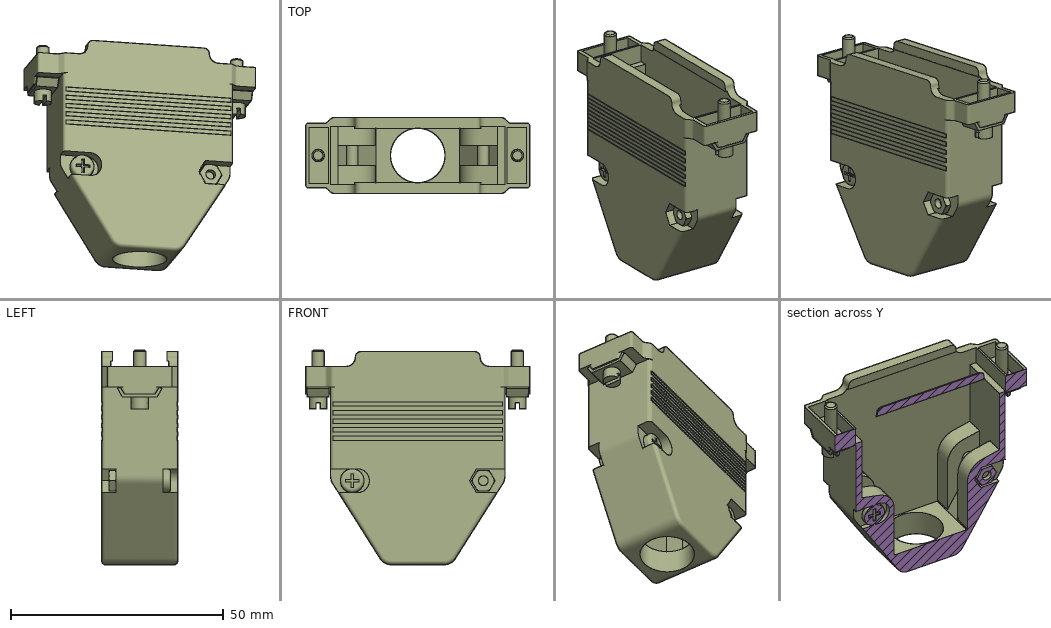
import math

import cadquery as cq

BODY_HALF_X = 20.57
BODY_HALF_Y = 17.93 / 2
RIM_Z = 46.8
EDGE_ROUND = 0.9
SHOULDER_Z = 19.95
SHOULDER_ROUND = 3.2
BASE_HALF_X = 7.95
BASE_CORNER_ROUND = 3.1

CAVITY_HALF_X = 18.83
CAVITY_HALF_Y = 6.83
LEDGE_Z = 42.45
MOUTH_HALF_X = 20.56
CABLE_HOLE_DIA = 12.8

LIP_TOP_Z = 50.3
LIP_TOP_HALF_X = 13.4
LIP_FOOT_RADIUS = 2.17
LIP_TOP_RADIUS = LIP_TOP_Z - RIM_Z - LIP_FOOT_RADIUS
LIP_BEAD_Z = 48.0
LIP_BEAD_INNER_Y = 6.39

FLANGE_Z = 41.89
FLANGE_HALF_X = 52.83 / 2
FLANGE_HALF_Y = 7.62
FLANGE_CORNER_ROUND = 0.6
FLARE_OUTER_X = 21.6
FLARE_INNER_X = 20.2
FLARE_ROUND = 0.87
POCKET_INNER_X = 21.07
POCKET_OUTER_X = 25.69
POCKET_HALF_Y = 6.57
POCKET_FLOOR_Z = LEDGE_Z

HUMP_TOP_HALF_Y = 4.64
HUMP_BOTTOM_HALF_Y = 3.68
HUMP_BOTTOM_Z = 40.3
HUMP_EDGE_ROUND = 0.55
STRAP_THICKNESS = 0.7
STRAP_INNER_X = 20.88
STRAP_OUTER_X = 26.06

JACK_X = 23.48
JACK_DIA = 2.95
JACK_TOP_Z = 50.62
JACK_CHAMFER = 0.35
JACK_HEAD_DIA = 4.15
JACK_HEAD_Z = 36.78
JACK_SLOT_WIDTH = 0.9
JACK_SLOT_DEPTH = 1.4

GROOVE_COUNT = 5
GROOVE_TOP_Z = 38.4
GROOVE_PITCH = 2.02
GROOVE_HEIGHT = 1.0
GROOVE_DEPTH = 0.2
GROOVE_HALF_X = 20.03

CLAMP_X = 15.45
CLAMP_Z = 19.83
CLAMP_SHANK_DIA = 2.8
BOSS_RADIUS = 5.45
FLOOR_STEP = 0.15
BOSS_TOP_SLOPE = 11.9
BOSS_GAP_HALF_Y = 2.35
RECESS_WIDTH = 5.6
SCREW_RECESS_DEPTH = 3.5
SCREW_RECESS_END_X = 14.2
SCREW_HEAD_DIA = 5.6
SCREW_HEAD_HEIGHT = 1.8
SCREW_HEAD_ROUND = 0.75
CROSS_LENGTH = 3.25
CROSS_WIDTH = 0.6
CROSS_DEPTH = 0.8
NUT_RECESS_DEPTH = 3.37
NUT_HEIGHT = 1.65
NUT_FLATS = 4.8
NUT_CHAMFER_DIA = 5.15
NUT_BORE_DIA = 2.27

NEAR = 1.0

FLOOR_HALF_X = CLAMP_X - BOSS_RADIUS - FLOOR_STEP
TAPER_RUN = (BODY_HALF_X - BASE_HALF_X) / SHOULDER_Z
WALL = BODY_HALF_X - CAVITY_HALF_X
TAPER_OFFSET_X = WALL * math.hypot(1, TAPER_RUN)


def inner_taper_z(x):
    """Height of the inner tapered wall at half width x."""
    return (x + TAPER_OFFSET_X - BASE_HALF_X) / TAPER_RUN


FLOOR_Z = inner_taper_z(FLOOR_HALF_X)


def block(x0, x1, y0, y1, z0, z1):
    return cq.Workplane("XY").box(x1 - x0, y1 - y0, z1 - z0, centered=False).translate((x0, y0, z0))


def prism_y(points, half_y):
    """Closed XZ outline made into a prism centred on the XZ plane."""
    return cq.Workplane("XZ").polyline(points).close().extrude(half_y, both=True)


def prism_x(points, x0, x1):
    """Closed YZ outline made into a prism from x0 to x1."""
    return cq.Workplane("YZ", origin=(x0, 0, 0)).polyline(points).close().extrude(x1 - x0)


def cylinder_y(x, z, dia, y0, y1):
    return cq.Workplane("XZ", origin=(x, y0, z)).circle(dia / 2).extrude(y0 - y1)


def cylinder_z(x, dia, z0, z1):
    return cq.Workplane("XY", origin=(x, 0, z0)).circle(dia / 2).extrude(z1 - z0)


def both_ends(feature):
    """The feature together with its copy turned half a revolution about Z."""
    return feature.union(feature.rotate((0, 0, 0), (0, 0, 1), 180))


def edges_near(half_x, z):
    """Selector for edges centred on Y, close to height z and within half_x of the middle."""
    return cq.selectors.BoxSelector(
        (-half_x - NEAR, -NEAR, z - NEAR), (half_x + NEAR, NEAR, z + NEAR)
    )


def make_body():
    outline = [
        (-BASE_HALF_X, 0),
        (BASE_HALF_X, 0),
        (BODY_HALF_X, SHOULDER_Z),
        (BODY_HALF_X, FLANGE_Z),
        (-BODY_HALF_X, FLANGE_Z),
        (-BODY_HALF_X, SHOULDER_Z),
    ]
    body = prism_y(outline, BODY_HALF_Y)
    body = body.edges("|Y").edges(edges_near(BODY_HALF_X, SHOULDER_Z)).fillet(SHOULDER_ROUND)
    body = body.edges("|Y").edges(edges_near(BASE_HALF_X, 0)).fillet(BASE_CORNER_ROUND)
    return body.faces("<Y or >Y").edges("not(>Z)").fillet(EDGE_ROUND)


def make_flange():
    quarter = [
        (FLANGE_HALF_X, FLANGE_HALF_Y),
        (FLARE_OUTER_X, FLANGE_HALF_Y),
        (FLARE_INNER_X, BODY_HALF_Y),
    ]
    right_side = [(x, -y) for x, y in reversed(quarter)] + quarter
    left_side = [(-x, -y) for x, y in right_side]
    flange = cq.Workplane("XY", origin=(0, 0, FLANGE_Z)).polyline(right_side + left_side).close()
    flange = flange.extrude(RIM_Z - FLANGE_Z)
    corners = flange.edges("|Z").edges("<X or >X")
    flange = corners.fillet(FLANGE_CORNER_ROUND)
    inner_x = FLARE_INNER_X - FLARE_ROUND
    outer_x = FLARE_OUTER_X + FLARE_ROUND
    for start_x, end_x in ((-outer_x, -inner_x), (inner_x, outer_x)):
        flare = cq.selectors.BoxSelector(
            (start_x, -BODY_HALF_Y - NEAR, FLANGE_Z), (end_x, BODY_HALF_Y + NEAR, RIM_Z)
        )
        flange = flange.edges("|Z").edges(flare).fillet(FLARE_ROUND)
    return flange


def make_lips():
    foot_x = LIP_TOP_HALF_X + LIP_TOP_RADIUS + LIP_FOOT_RADIUS
    bend_x = LIP_TOP_HALF_X + LIP_TOP_RADIUS
    bend_z = RIM_Z + LIP_FOOT_RADIUS
    diagonal = math.sqrt(0.5)
    foot_mid = (foot_x - LIP_FOOT_RADIUS * diagonal, bend_z - LIP_FOOT_RADIUS * diagonal)
    top_mid = (LIP_TOP_HALF_X + LIP_TOP_RADIUS * diagonal, bend_z + LIP_TOP_RADIUS * diagonal)
    outline = (
        cq.Workplane("XZ")
        .moveTo(-foot_x, FLANGE_Z)
        .lineTo(foot_x, FLANGE_Z)
        .lineTo(foot_x, RIM_Z)
        .threePointArc(foot_mid, (bend_x, bend_z))
        .threePointArc(top_mid, (LIP_TOP_HALF_X, LIP_TOP_Z))
        .lineTo(-LIP_TOP_HALF_X, LIP_TOP_Z)
        .threePointArc((-top_mid[0], top_mid[1]), (-bend_x, bend_z))
        .threePointArc((-foot_mid[0], foot_mid[1]), (-foot_x, RIM_Z))
        .close()
    )
    return outline.extrude(BODY_HALF_Y, both=True)


def make_cavity():
    outline = [
        (-FLOOR_HALF_X, FLOOR_Z),
        (FLOOR_HALF_X, FLOOR_Z),
        (CAVITY_HALF_X, inner_taper_z(CAVITY_HALF_X)),
        (CAVITY_HALF_X, LEDGE_Z),
        (MOUTH_HALF_X, LEDGE_Z),
        (MOUTH_HALF_X, LIP_BEAD_Z),
        (-MOUTH_HALF_X, LIP_BEAD_Z),
        (-MOUTH_HALF_X, LEDGE_Z),
        (-CAVITY_HALF_X, LEDGE_Z),
        (-CAVITY_HALF_X, inner_taper_z(CAVITY_HALF_X)),
    ]
    cavity = prism_y(outline, CAVITY_HALF_Y)
    between_beads = prism_y(
        [
            (-MOUTH_HALF_X, LIP_BEAD_Z),
            (MOUTH_HALF_X, LIP_BEAD_Z),
            (MOUTH_HALF_X, LIP_TOP_Z),
            (-MOUTH_HALF_X, LIP_TOP_Z),
        ],
        LIP_BEAD_INNER_Y,
    )
    cable_hole = cylinder_z(0, CABLE_HOLE_DIA, 0, FLOOR_Z)
    return cavity.union(between_beads).union(cable_hole)


def make_boss_pair():
    """Bosses around the -X clamping screw, with a gap between them at mid depth."""
    foot_x = CLAMP_X - BOSS_RADIUS
    slope = math.radians(BOSS_TOP_SLOPE)
    tangent_x = -CLAMP_X + BOSS_RADIUS * math.sin(slope)
    tangent_z = CLAMP_Z + BOSS_RADIUS * math.cos(slope)
    wall_z = tangent_z + (tangent_x + CAVITY_HALF_X) * math.tan(slope)
    arc_mid_angle = (math.pi / 2 - slope) / 2
    arc_mid = (
        -CLAMP_X + BOSS_RADIUS * math.cos(arc_mid_angle),
        CLAMP_Z + BOSS_RADIUS * math.sin(arc_mid_angle),
    )
    boss = (
        cq.Workplane("XZ")
        .moveTo(-CAVITY_HALF_X, wall_z)
        .lineTo(tangent_x, tangent_z)
        .threePointArc(arc_mid, (-foot_x, CLAMP_Z))
        .lineTo(-foot_x, inner_taper_z(foot_x))
        .lineTo(-CAVITY_HALF_X, inner_taper_z(CAVITY_HALF_X))
        .close()
        .extrude(CAVITY_HALF_Y, both=True)
    )
    gap = block(-CAVITY_HALF_X, 0, -BOSS_GAP_HALF_Y, BOSS_GAP_HALF_Y, 0, RIM_Z)
    return boss.cut(gap)


def make_end_hump():
    """Trapezoidal hump under the -X end of the flange with a folded strap around it."""
    hump = [
        (-HUMP_TOP_HALF_Y, FLANGE_Z),
        (-HUMP_BOTTOM_HALF_Y, HUMP_BOTTOM_Z),
        (HUMP_BOTTOM_HALF_Y, HUMP_BOTTOM_Z),
        (HUMP_TOP_HALF_Y, FLANGE_Z),
    ]
    side_angle = math.atan2(HUMP_TOP_HALF_Y - HUMP_BOTTOM_HALF_Y, FLANGE_Z - HUMP_BOTTOM_Z)
    strap_end_y = HUMP_TOP_HALF_Y + STRAP_THICKNESS * math.cos(side_angle)
    strap_end_z = FLANGE_Z - STRAP_THICKNESS * math.sin(side_angle)
    strap_bottom_z = HUMP_BOTTOM_Z - STRAP_THICKNESS
    strap_bottom_y = strap_end_y - (strap_end_z - strap_bottom_z) * math.tan(side_angle)
    strap = [
        (-HUMP_TOP_HALF_Y, FLANGE_Z),
        (-strap_end_y, strap_end_z),
        (-strap_bottom_y, strap_bottom_z),
        (strap_bottom_y, strap_bottom_z),
        (strap_end_y, strap_end_z),
        (HUMP_TOP_HALF_Y, FLANGE_Z),
    ]
    hump_solid = prism_x(hump, -FLANGE_HALF_X, -BODY_HALF_X)
    side_edges = hump_solid.faces("<X").edges("not(|Y)")
    hump_solid = side_edges.fillet(HUMP_EDGE_ROUND)
    return hump_solid.union(prism_x(strap, -STRAP_OUTER_X, -STRAP_INNER_X))


def make_jack_screw():
    shank = cylinder_z(-JACK_X, JACK_DIA, HUMP_BOTTOM_Z, JACK_TOP_Z)
    shank = shank.faces(">Z").chamfer(JACK_CHAMFER)
    head = cylinder_z(-JACK_X, JACK_HEAD_DIA, JACK_HEAD_Z, HUMP_BOTTOM_Z)
    slot = cq.Workplane("XY").box(JACK_SLOT_WIDTH, JACK_HEAD_DIA, 2 * JACK_SLOT_DEPTH)
    return shank.union(head.cut(slot.translate((-JACK_X, 0, JACK_HEAD_Z))))


def make_flange_pocket():
    return block(
        -POCKET_OUTER_X, -POCKET_INNER_X, -POCKET_HALF_Y, POCKET_HALF_Y, POCKET_FLOOR_Z, RIM_Z
    )


def make_grooves():
    """Grip grooves across the -Y face."""
    bottom_y = -BODY_HALF_Y + GROOVE_DEPTH
    grooves = cq.Workplane("XY")
    for i in range(GROOVE_COUNT):
        top_z = GROOVE_TOP_Z - i * GROOVE_PITCH
        groove = block(
            -GROOVE_HALF_X, GROOVE_HALF_X, -BODY_HALF_Y, bottom_y, top_z - GROOVE_HEIGHT, top_z
        )
        grooves = grooves.add(groove)
    return grooves.combine()


def make_screw_recess():
    """Round-ended recess in the -Y face, open to the -X side."""
    floor_y = -BODY_HALF_Y + SCREW_RECESS_DEPTH
    half_width = RECESS_WIDTH / 2
    channel = block(
        -BODY_HALF_X, -SCREW_RECESS_END_X, -BODY_HALF_Y, floor_y, CLAMP_Z - half_width, CLAMP_Z + half_width
    )
    return channel.union(cylinder_y(-SCREW_RECESS_END_X, CLAMP_Z, RECESS_WIDTH, -BODY_HALF_Y, floor_y))


def make_nut_recess():
    """Hexagon-ended recess in the +Y face, open to the -X side."""
    floor_y = BODY_HALF_Y - NUT_RECESS_DEPTH
    half_width = RECESS_WIDTH / 2
    corner_dia = RECESS_WIDTH / math.cos(math.pi / 6)
    hexagon = cq.Workplane("XZ", origin=(-CLAMP_X, floor_y, CLAMP_Z)).polygon(6, corner_dia)
    channel = block(
        -BODY_HALF_X, -CLAMP_X, floor_y, BODY_HALF_Y, CLAMP_Z - half_width, CLAMP_Z + half_width
    )
    return channel.union(hexagon.extrude(-NUT_RECESS_DEPTH))


def make_clamp_screw():
    seat_y = -BODY_HALF_Y + SCREW_RECESS_DEPTH
    head_y = seat_y - SCREW_HEAD_HEIGHT
    head = cylinder_y(-CLAMP_X, CLAMP_Z, SCREW_HEAD_DIA, head_y, seat_y)
    head = head.faces("<Y").edges().fillet(SCREW_HEAD_ROUND)
    for length_x, length_z in ((CROSS_LENGTH, CROSS_WIDTH), (CROSS_WIDTH, CROSS_LENGTH)):
        arm = cq.Workplane("XY").box(length_x, 2 * CROSS_DEPTH, length_z)
        head = head.cut(arm.translate((-CLAMP_X, head_y, CLAMP_Z)))
    nut_seat_y = BODY_HALF_Y - NUT_RECESS_DEPTH
    return head.union(cylinder_y(-CLAMP_X, CLAMP_Z, CLAMP_SHANK_DIA, seat_y, nut_seat_y))


def make_nut():
    """Hexagon nut with its corners turned down at both faces."""
    seat_y = BODY_HALF_Y - NUT_RECESS_DEPTH
    corner_dia = NUT_FLATS / math.cos(math.pi / 6)
    nut = cq.Workplane("XZ", origin=(-CLAMP_X, seat_y, CLAMP_Z)).polygon(6, corner_dia)
    nut = nut.extrude(-NUT_HEIGHT)
    envelope = cylinder_y(-CLAMP_X, CLAMP_Z, corner_dia, seat_y, seat_y + NUT_HEIGHT)
    envelope = envelope.edges().chamfer((corner_dia - NUT_CHAMFER_DIA) / 2)
    bore = cylinder_y(-CLAMP_X, CLAMP_Z, NUT_BORE_DIA, seat_y, seat_y + NUT_HEIGHT)
    return nut.intersect(envelope).cut(bore)


shell = make_body().union(make_flange()).union(make_lips()).cut(make_cavity())
shell = shell.union(both_ends(make_boss_pair()))
shell = shell.union(both_ends(make_end_hump()))
for recess in (make_flange_pocket(), make_grooves(), make_screw_recess(), make_nut_recess()):
    shell = shell.cut(both_ends(recess))

hardware = make_jack_screw().union(make_clamp_screw()).union(make_nut())
result = shell.union(both_ends(hardware))